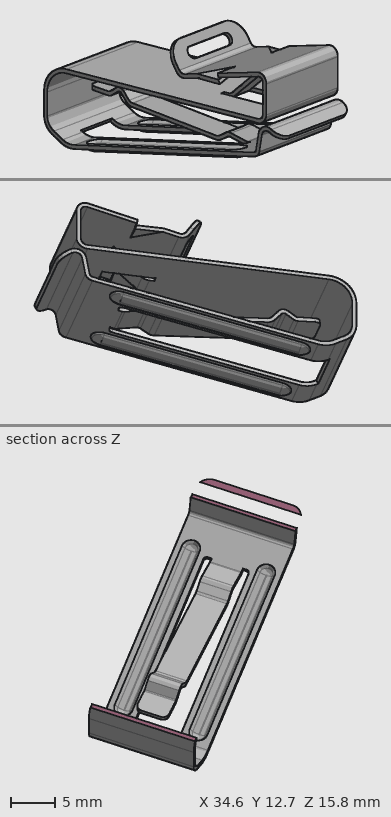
import cadquery as cq
import math


WIDTH = 12.7
THICK = 0.5
OVERLAP = 0.5
CUT = 4.0

LIP_DIRECTION = 123.0
ARM_SLOPE = 13.0
BACK_SLOPE = -30.0
RAIL_SLOPE = 10.0
RISER_SLOPE = 80.0
TAIL_SLOPE = -30.0

LIP_LENGTH = 4.05
ARM_LENGTH = 12.63
DECK_LENGTH = 32.0
FRONT_HEIGHT = 5.75
BACK_HEIGHT = 7.08
BACK_SLANT_LENGTH = 3.70
RAIL_LENGTH = 28.13
RISER_LENGTH = 4.01
TAIL_LENGTH = 3.07

LIP_BEND = 1.0
ARM_BEND = 0.85
DECK_BEND = 1.0
BACK_BEND = 3.0
HEEL_BEND = 2.1
RAIL_BEND = 2.75
RISER_BEND = 0.75
TAIL_BEND = 1.0

LIP_CORNER_RADIUS = 2.54
LIP_SLOT_LENGTH = 7.62
LIP_SLOT_WIDTH = 1.5
LIP_SLOT_FROM_END = 2.0
TAIL_CORNER_RADIUS = 1.6

EAR_START = 2.57
EAR_LENGTH = 3.06
EAR_DEPTH = 3.15
EAR_MARGIN = 0.3
EAR_ANGLE = 19.0

TAB_WIDTH = 2.65
TAB_SLOPE = 41.5
TAB_LENGTH = 5.2
TAB_ROOT = 9.0
TAB_BEND = 1.0
TAB_SLIT = 0.58
TAB_WINDOW_BEHIND = 1.0

WINDOW_WIDTH = 5.48
WINDOW_END = 23.45
WINDOW_CORNER_RADIUS = 0.4
WINDOW_RISE = 1.28

TONGUE_WIDTH = 3.81
TONGUE_ROOT = 22.9
TONGUE_ROOT_BEND = 0.5
TONGUE_TIP_CORNER_RADIUS = 0.75
TONGUE_LEGS = [
    (2.81, 167.5, 0.8),
    (1.69, 211.0, 0.8),
    (13.05, 174.0, 1.0),
    (2.13, 131.0, 0.6),
    (1.81, 214.0, 0.5),
    (2.95, 175.5, 0.0),
]

BEAD_LENGTH = 23.6
BEAD_WIDTH = 2.56
BEAD_DEPTH = 0.61
BEAD_FLOOR_RADIUS = 1.0
BEAD_TAPER = 45.0
BEAD_MIDDLE = 13.28


def step(point, heading, length):
    """Point reached by going `length` from `point` along `heading` in the XZ plane."""
    angle = math.radians(heading)
    return (point[0] + length * math.cos(angle), point[1] + length * math.sin(angle))


def bent_strip(start, legs, width):
    """Sheet of the given width, centred on Y = 0, that follows a mid-sheet line.

    Each leg is (length to the next sharp corner, heading, bend radius at that corner);
    the last leg ends the sheet, so its radius is unused.
    """
    half = THICK / 2
    upper = [step(start, legs[0][1] + 90, half)]
    lower = [step(start, legs[0][1] - 90, half)]
    bends = []
    corner = start
    for (length, heading, radius), (_, next_heading, _) in zip(legs, legs[1:]):
        corner = step(corner, heading, length)
        turn = (next_heading - heading + 180) % 360 - 180
        side = math.copysign(90, turn)
        setback = radius * math.tan(math.radians(abs(turn) / 2))
        tangent = step(corner, heading, -setback)
        centre = step(tangent, heading + side, radius)
        directions = [heading - side + part * turn for part in (0, 0.5, 1)]
        upper_radius = radius - math.copysign(half, turn)
        lower_radius = radius + math.copysign(half, turn)
        upper_arc = [step(centre, direction, upper_radius) for direction in directions]
        lower_arc = [step(centre, direction, lower_radius) for direction in directions]
        bends.append((upper_arc, lower_arc))
    end_length, end_heading, _ = legs[-1]
    end = step(corner, end_heading, end_length)

    profile = cq.Workplane("XZ").moveTo(*lower[0]).lineTo(*upper[0])
    for upper_arc, _ in bends:
        profile = profile.lineTo(*upper_arc[0]).threePointArc(*upper_arc[1:])
    profile = profile.lineTo(*step(end, end_heading + 90, half))
    profile = profile.lineTo(*step(end, end_heading - 90, half))
    for _, lower_arc in reversed(bends):
        profile = profile.lineTo(*lower_arc[2]).threePointArc(lower_arc[1], lower_arc[0])
    return profile.close().extrude(width / 2, both=True)


def sheet_plane(point, heading):
    """Plane on the sheet: local x along the heading, local y along Y, z off the sheet."""
    angle = math.radians(heading)
    along = (math.cos(angle), 0, math.sin(angle))
    normal = (-math.sin(angle), 0, math.cos(angle))
    return cq.Workplane(cq.Plane((point[0], 0, point[1]), along, normal))


def round_end(strip, end, heading, radius):
    """Round the two corners of a free end of the sheet."""
    angle = math.radians(heading)
    normal = cq.Vector(-math.sin(angle), 0, math.cos(angle))
    reach = THICK
    near_end = cq.selectors.BoxSelector(
        (end[0] - reach, -WIDTH, end[1] - reach), (end[0] + reach, WIDTH, end[1] + reach)
    )
    return strip.edges(cq.selectors.ParallelDirSelector(normal)).edges(near_end).fillet(radius)


deck_back = (THICK / 2, 0)
deck_front = step(deck_back, 0, DECK_LENGTH)
arm_front = step(deck_front, 90, FRONT_HEIGHT)
lip_corner = step(arm_front, 180 + ARM_SLOPE, ARM_LENGTH)
lip_end = step(lip_corner, LIP_DIRECTION, LIP_LENGTH)
heel = step(deck_back, -90, BACK_HEIGHT)
rail_back = step(heel, BACK_SLOPE, BACK_SLANT_LENGTH)
rail_front = step(rail_back, RAIL_SLOPE, RAIL_LENGTH)
riser_top = step(rail_front, RISER_SLOPE, RISER_LENGTH)
tail_end = step(riser_top, TAIL_SLOPE, TAIL_LENGTH)


def main_strip():
    strip = bent_strip(
        lip_end,
        [
            (LIP_LENGTH, LIP_DIRECTION - 180, LIP_BEND),
            (ARM_LENGTH, ARM_SLOPE, ARM_BEND),
            (FRONT_HEIGHT, -90, DECK_BEND),
            (DECK_LENGTH, 180, BACK_BEND),
            (BACK_HEIGHT, -90, HEEL_BEND),
            (BACK_SLANT_LENGTH, BACK_SLOPE, RAIL_BEND),
            (RAIL_LENGTH, RAIL_SLOPE, RISER_BEND),
            (RISER_LENGTH, RISER_SLOPE, TAIL_BEND),
            (TAIL_LENGTH, TAIL_SLOPE, 0),
        ],
        WIDTH,
    )
    strip = round_end(strip, lip_end, LIP_DIRECTION, LIP_CORNER_RADIUS)
    return round_end(strip, tail_end, TAIL_SLOPE, TAIL_CORNER_RADIUS)


def cut_lip_slot(strip):
    middle = step(lip_end, LIP_DIRECTION, -LIP_SLOT_FROM_END)
    slot = sheet_plane(middle, LIP_DIRECTION).slot2D(LIP_SLOT_LENGTH, LIP_SLOT_WIDTH, 90)
    return strip.cut(slot.extrude(THICK, both=True))


def fold_ears(strip):
    """Fold a triangle at each edge of the arm down about its slanted side.

    Each ear is folded oversized, then trimmed square to the arm along the triangle it came from.
    """
    top = step(step(lip_corner, ARM_SLOPE, EAR_START), ARM_SLOPE + 90, THICK / 2)
    plane = sheet_plane(top, ARM_SLOPE)
    for side in (-1, 1):
        edge = side * WIDTH / 2
        inner = side * (WIDTH / 2 - EAR_DEPTH)
        corners = [(0, edge), (EAR_LENGTH, edge), (EAR_LENGTH, inner)]
        extra_length = EAR_MARGIN * EAR_LENGTH
        extra_depth = side * EAR_MARGIN * EAR_DEPTH
        grown = [
            (-extra_length, edge + extra_depth),
            (EAR_LENGTH + extra_length, edge + extra_depth),
            (EAR_LENGTH + extra_length, inner - extra_depth),
        ]
        opening = plane.polyline(corners).close().extrude(-THICK)
        outline = plane.polyline(corners).close().extrude(-CUT)
        blank = plane.polyline(grown).close().extrude(-THICK)
        fold_start = plane.plane.toWorldCoords(corners[0])
        fold_end = plane.plane.toWorldCoords(corners[2])
        folded = blank.rotate(fold_start.toTuple(), fold_end.toTuple(), -side * EAR_ANGLE)
        strip = strip.cut(opening).union(folded.intersect(outline))
    return strip


def add_tab(strip):
    """Spring tab lanced out of the deck and bent up towards the arm."""
    root = step(deck_front, 180, TAB_ROOT)
    window_start = root[0] - TAB_WINDOW_BEHIND
    window_length = TAB_WINDOW_BEHIND + TAB_LENGTH
    window = (
        cq.Workplane("XY")
        .center(window_start + window_length / 2, 0)
        .rect(window_length, TAB_WIDTH + 2 * TAB_SLIT)
        .extrude(THICK, both=True)
    )
    start = (window_start - OVERLAP, 0)
    legs = [(root[0] - start[0], 0, TAB_BEND), (TAB_LENGTH, TAB_SLOPE, 0)]
    return strip.cut(window).union(bent_strip(start, legs, TAB_WIDTH))


def cut_rail_window(strip):
    """Opening the tongue is lanced from, running from the slanted stretch along the rail."""
    rail_plane = sheet_plane(rail_back, RAIL_SLOPE)
    rail_normal = cq.selectors.ParallelDirSelector(rail_plane.plane.zDir)
    along_rail = (
        rail_plane.center(WINDOW_END / 2, 0)
        .rect(WINDOW_END, WINDOW_WIDTH)
        .extrude(CUT / 2, both=True)
        .edges(rail_normal)
        .edges(">X")
        .fillet(WINDOW_CORNER_RADIUS)
    )
    along_slant = (
        sheet_plane(rail_back, BACK_SLOPE)
        .center((THICK - WINDOW_RISE) / 2, 0)
        .rect(WINDOW_RISE + THICK, WINDOW_WIDTH)
        .extrude(CUT / 2, both=True)
    )
    return strip.cut(along_rail).cut(along_slant)


def tongue():
    """Wavy spring tongue that rises off the front of the rail and runs to the back."""
    start = step(rail_back, RAIL_SLOPE, WINDOW_END + OVERLAP)
    legs = [(WINDOW_END + OVERLAP - TONGUE_ROOT, 180 + RAIL_SLOPE, TONGUE_ROOT_BEND)] + TONGUE_LEGS
    blank = bent_strip(start, legs, TONGUE_WIDTH)
    end = start
    for length, heading, _ in legs:
        end = step(end, heading, length)
    return round_end(blank, end, legs[-1][1], TONGUE_TIP_CORNER_RADIUS)


def bead_form(face, inset, floor_radius):
    """Round-ended form sunk below a sheet face, with sloping walls and a rounded floor."""
    form = face.slot2D(BEAD_LENGTH - inset, BEAD_WIDTH - inset)
    form = form.extrude(-BEAD_DEPTH, taper=BEAD_TAPER)
    floor = cq.selectors.DirectionMinMaxSelector(face.plane.zDir, directionMax=False)
    return form.faces(floor).edges().fillet(floor_radius)


def press_beads(strip):
    """Stiffening bead pressed down along each side rail, with the sheet thickness kept."""
    middle = step(rail_back, RAIL_SLOPE, BEAD_MIDDLE)
    upper = sheet_plane(step(middle, RAIL_SLOPE + 90, THICK / 2), RAIL_SLOPE)
    lower = sheet_plane(step(middle, RAIL_SLOPE - 90, THICK / 2), RAIL_SLOPE)
    inset = 2 * THICK * math.tan(math.radians(90 - BEAD_TAPER) / 2)
    for side in (-1, 1):
        offset = side * (WIDTH + WINDOW_WIDTH) / 4
        outer = bead_form(lower.center(0, offset), 0, BEAD_FLOOR_RADIUS + THICK)
        inner = bead_form(upper.center(0, offset), inset, BEAD_FLOOR_RADIUS)
        strip = strip.union(outer).cut(inner)
    return strip


clip = main_strip()
clip = cut_lip_slot(clip)
clip = fold_ears(clip)
clip = add_tab(clip)
clip = cut_rail_window(clip)
clip = press_beads(clip)
result = clip.union(tongue())